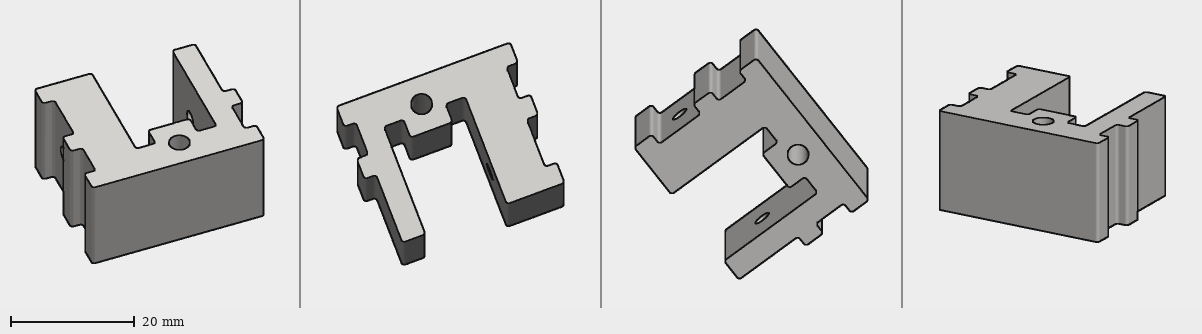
import cadquery as cq

length_x = 24.85
length_y = 30.0
height = 17.0
corner_radius = 0.5

rib_height = 2.0
rib_width = 3.6
middle_rib_start = 12.0

channel_start_y = 10.0
channel_end_y = 24.0
channel_depth = 19.0
boss_height = 3.2
boss_width = 7.25

wall_hole_diameter = 3.4
wall_hole_x = 20.35
arm_hole_diameter = 2.75
arm_hole_x = 7.75
blind_depth = 2.0


def box(x_start, x_end, y_start, y_end):
    """Full-height block between the given X and Y limits."""
    return (
        cq.Workplane("XY")
        .box(x_end - x_start, y_end - y_start, height, centered=False)
        .translate((x_start, y_start, 0))
    )


channel_center_y = (channel_start_y + channel_end_y) / 2
inner_face_y = length_y - rib_height
body = box(0, length_x, rib_height, inner_face_y)
body = body.cut(box(0, channel_depth, channel_start_y, channel_end_y))
boss_start_y = channel_center_y - boss_width / 2
body = body.union(
    box(channel_depth - boss_height, channel_depth, boss_start_y, boss_start_y + boss_width)
)

end_rib_start = length_x - rib_width
for rib_start in (0, middle_rib_start, end_rib_start):
    body = body.union(box(rib_start, rib_start + rib_width, 0, rib_height))
for rib_start in (middle_rib_start, end_rib_start):
    body = body.union(box(rib_start, rib_start + rib_width, inner_face_y, length_y))

body = body.clean().edges("|Z").fillet(corner_radius)

wall_hole = (
    cq.Workplane("XY")
    .center(wall_hole_x, channel_center_y)
    .circle(wall_hole_diameter / 2)
    .extrude(height)
)

arm_hole = (
    cq.Workplane("XZ")
    .center(arm_hole_x, height / 2)
    .circle(arm_hole_diameter / 2)
    .extrude(-(channel_end_y + blind_depth))
)

result = body.cut(wall_hole).cut(arm_hole)